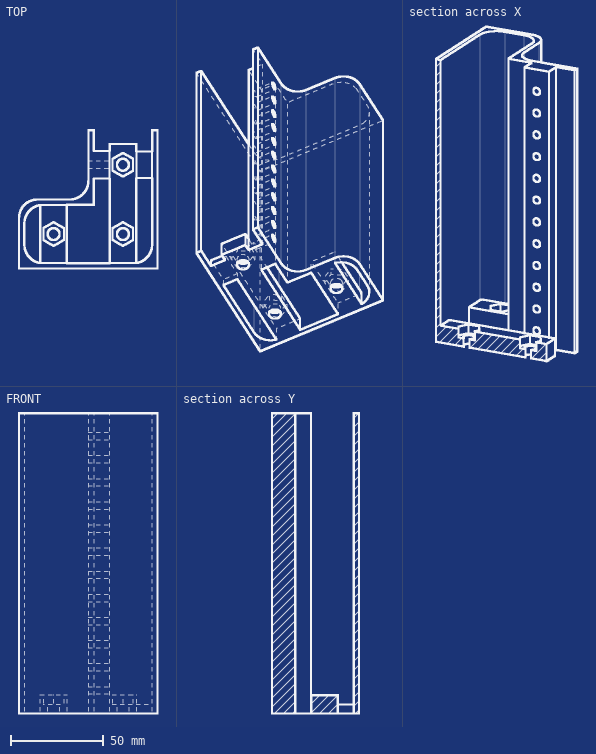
import cadquery as cq
import math

SIZE = 75.0
HEIGHT = 162.5
WALL = 3.0
CORNER_RADIUS = 10.0

EDGE = SIZE / 2
BOTTOM = -HEIGHT / 2
STEP = 0.0
INNER_LOW = -EDGE + WALL
INNER_HIGH = EDGE - WALL
STEP_INNER_X = STEP + WALL
STEP_INNER_Y = STEP - WALL

BOLT_OFFSET = SIZE / 4
BOLT_DIAMETER = 6.35
BOLT_POSITIONS = [
    (-BOLT_OFFSET, -BOLT_OFFSET),
    (BOLT_OFFSET, -BOLT_OFFSET),
    (BOLT_OFFSET, BOLT_OFFSET),
]
NUT_ACROSS_FLATS = 11.11
NUT_DEPTH = 5.0

BAR_WIDTH = 14.5
BAR_THICKNESS = 10.0
BAR_END_GAP = 7.5
BAR_END_Y = EDGE - BAR_END_GAP
CROSS_BAR_THICKNESS = 5.0

RAIL_WIDTH = 15.0
RAIL_END_X = BOLT_OFFSET - BAR_WIDTH / 2
PIN_DIAMETER = 4.0
PIN_COUNT = 12
PIN_PITCH = 12.5
PIN_START_Z = BOTTOM + PIN_PITCH


def box(x_min, x_max, y_min, y_max, height):
    """Block standing on the lower end plane of the part."""
    return (
        cq.Workplane("XY", origin=(x_min, y_min, BOTTOM))
        .box(x_max - x_min, y_max - y_min, height, centered=False)
    )


def make_channel():
    """L-shaped outline with its cavity removed; the +Y end stays open."""
    outer = (
        cq.Workplane("XY", origin=(0, 0, BOTTOM))
        .moveTo(-EDGE, -EDGE)
        .lineTo(EDGE, -EDGE)
        .lineTo(EDGE, EDGE)
        .lineTo(STEP, EDGE)
        .lineTo(STEP, STEP + CORNER_RADIUS)
        .radiusArc((STEP - CORNER_RADIUS, STEP), CORNER_RADIUS)
        .lineTo(-EDGE + CORNER_RADIUS, STEP)
        .radiusArc((-EDGE, STEP - CORNER_RADIUS), -CORNER_RADIUS)
        .close()
        .extrude(HEIGHT)
    )
    cavity = (
        cq.Workplane("XY", origin=(0, 0, BOTTOM))
        .moveTo(STEP_INNER_X, EDGE)
        .lineTo(STEP_INNER_X, STEP_INNER_Y)
        .lineTo(INNER_LOW + CORNER_RADIUS, STEP_INNER_Y)
        .radiusArc((INNER_LOW, STEP_INNER_Y - CORNER_RADIUS), -CORNER_RADIUS)
        .lineTo(INNER_LOW, INNER_LOW + CORNER_RADIUS)
        .radiusArc((INNER_LOW + CORNER_RADIUS, INNER_LOW), -CORNER_RADIUS)
        .lineTo(INNER_HIGH - CORNER_RADIUS, INNER_LOW)
        .radiusArc((INNER_HIGH, INNER_LOW + CORNER_RADIUS), -CORNER_RADIUS)
        .lineTo(INNER_HIGH, EDGE)
        .close()
        .extrude(HEIGHT)
    )
    return outer.cut(cavity)


def make_rail():
    """Full-height rail on the inside of the stem wall."""
    half = RAIL_WIDTH / 2
    return box(STEP, RAIL_END_X, BOLT_OFFSET - half, BOLT_OFFSET + half, HEIGHT)


def make_bars():
    """Two bars along Y that carry the bolts, and a thinner one along X."""
    half = BAR_WIDTH / 2
    root = -EDGE + WALL / 2
    short_bar = box(-BOLT_OFFSET - half, -BOLT_OFFSET + half, root, STEP - WALL / 2, BAR_THICKNESS)
    long_bar = box(BOLT_OFFSET - half, BOLT_OFFSET + half, root, BAR_END_Y, BAR_THICKNESS)
    cross_bar = box(
        STEP_INNER_X, EDGE - WALL / 2, BOLT_OFFSET - half, BOLT_OFFSET + half, CROSS_BAR_THICKNESS
    )
    return short_bar.union(long_bar).union(cross_bar)


def make_bolt_cutters():
    """Through holes with a hexagonal nut pocket sunk into the top of the bars."""
    holes = (
        cq.Workplane("XY", origin=(0, 0, BOTTOM))
        .pushPoints(BOLT_POSITIONS)
        .circle(BOLT_DIAMETER / 2)
        .extrude(BAR_THICKNESS)
    )
    across_corners = NUT_ACROSS_FLATS / math.cos(math.pi / 6)
    for x, y in BOLT_POSITIONS:
        pocket = (
            cq.Workplane("XY", origin=(x, y, BOTTOM + BAR_THICKNESS - NUT_DEPTH))
            .transformed(rotate=(0, 0, 90))
            .polygon(6, across_corners)
            .extrude(NUT_DEPTH)
        )
        holes = holes.union(pocket)
    return holes


def make_pin_cutters():
    """Row of pin holes through the stem wall and the rail."""
    positions = [(BOLT_OFFSET, PIN_START_Z + i * PIN_PITCH) for i in range(PIN_COUNT)]
    return (
        cq.Workplane("YZ", origin=(STEP, 0, 0))
        .pushPoints(positions)
        .circle(PIN_DIAMETER / 2)
        .extrude(RAIL_END_X - STEP)
    )


body = make_channel().union(make_rail()).union(make_bars())
result = body.cut(make_bolt_cutters()).cut(make_pin_cutters())